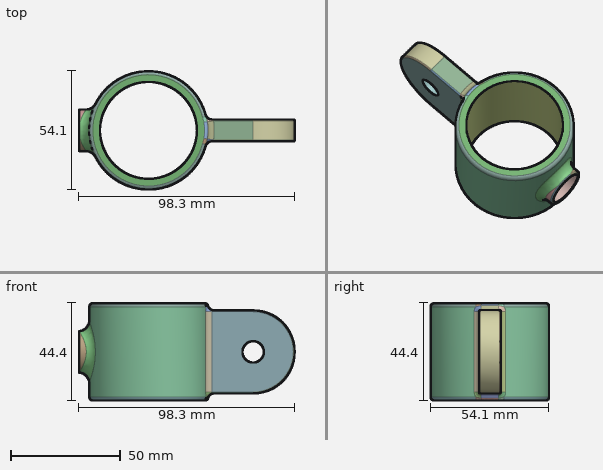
import cadquery as cq

ring_diameter = 54.1
bore_diameter = 44.0
ring_height = 44.4
rim_fillet = 1.7

overall_length = 98.3
lug_height = 37.9
lug_thickness = 10.0
lug_hole_diameter = 9.6
lug_edge_fillet = 0.7
lug_root_fillet = 2.9

boss_reach = 31.7
boss_diameter = 19.1
boss_hole_diameter = 16.0
boss_root_fillet = 4.6
boss_rim_fillet = 0.6
boss_trim = 4.9

ring_radius = ring_diameter / 2
lug_end_radius = lug_height / 2
lug_hole_x = overall_length - boss_reach - lug_end_radius
selection_margin = 1.0


def make_ring():
    return cq.Workplane("XY").circle(ring_radius).extrude(ring_height / 2, both=True)


def make_lug():
    """Plate from the ring axis to a semicircular end, its outline edges rounded."""
    plate = (
        cq.Workplane("XZ")
        .moveTo(0, -lug_end_radius)
        .lineTo(lug_hole_x, -lug_end_radius)
        .threePointArc((lug_hole_x + lug_end_radius, 0), (lug_hole_x, lug_end_radius))
        .lineTo(0, lug_end_radius)
        .close()
        .extrude(lug_thickness / 2, both=True)
    )
    return plate.faces("<Y or >Y").edges("not <X").fillet(lug_edge_fillet)


def make_boss():
    """Cylinder left overlong so that its root blend fits before the end is trimmed."""
    return cq.Workplane("YZ").circle(boss_diameter / 2).extrude(-boss_reach - boss_trim)


def fillet_root(body, x_min, x_max, half_width, half_height, radius):
    """Blend the edges where an attachment meets the outside of the ring."""
    region = cq.selectors.BoxSelector(
        (x_min, -half_width, -half_height), (x_max, half_width, half_height), boundingbox=True
    )
    return body.edges(region).fillet(radius)


body = make_ring().union(make_lug())
body = fillet_root(
    body,
    ring_radius - selection_margin,
    ring_radius + selection_margin,
    lug_thickness / 2 + selection_margin,
    lug_end_radius + selection_margin,
    lug_root_fillet,
)

body = body.union(make_boss())
boss_half_size = boss_diameter / 2 + selection_margin
body = fillet_root(
    body,
    -ring_radius - selection_margin,
    -ring_radius / 2,
    boss_half_size,
    boss_half_size,
    boss_root_fillet,
)

body = body.cut(cq.Workplane("YZ", origin=(-boss_reach, 0, 0)).circle(boss_diameter).extrude(-boss_trim))

body = body.faces("<Z or >Z").edges().fillet(rim_fillet)
body = body.faces("<X").edges().fillet(boss_rim_fillet)

bore = (
    cq.Workplane("XY", origin=(0, 0, -ring_height / 2))
    .circle(bore_diameter / 2)
    .extrude(ring_height)
)
boss_hole = cq.Workplane("YZ").circle(boss_hole_diameter / 2).extrude(-boss_reach)
lug_hole = (
    cq.Workplane("XZ", origin=(lug_hole_x, lug_thickness / 2, 0))
    .circle(lug_hole_diameter / 2)
    .extrude(lug_thickness)
)

result = body.cut(bore).cut(boss_hole).cut(lug_hole)